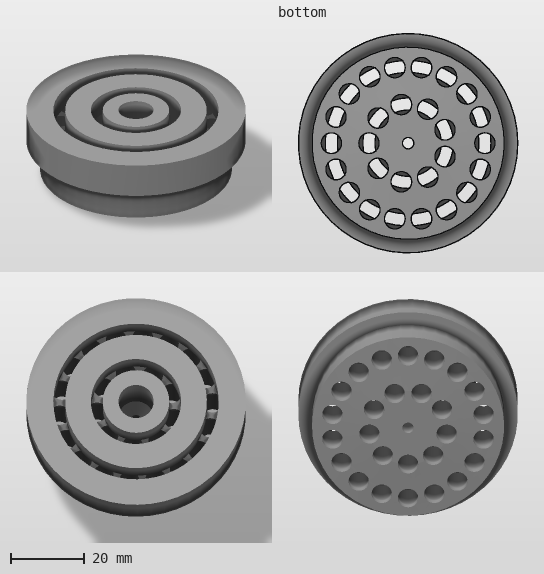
import cadquery as cq
import math

flange_diameter = 59.4
flange_thickness = 9.5
plug_diameter = 52.0
total_height = 19.5
underside_flat_diameter = 21.4
underside_rise = 1.0

groove_width = 3.2
groove_depth = 6.0
inner_groove_diameter = 18.0
outer_groove_diameter = 38.3

vent_diameter = 5.5
inner_vent_count = 9
outer_vent_count = 18
first_vent_angle = 180

bore_diameter = 9.5
bore_depth = 13.05
outlet_diameter = 3.0
drill_point_angle = 118.0


def revolved(profile):
    """Solid of revolution about Z from (radius, height) points."""
    return cq.Workplane("XZ").polyline(profile).close().revolve(360, (0, 0, 0), (0, 1, 0))


def flanged_disc():
    """Flanged disc with an underside that slopes gently up from a flat middle to the rim."""
    flange_radius = flange_diameter / 2
    plug_radius = plug_diameter / 2
    flange_bottom = total_height - flange_thickness
    profile = [
        (0, 0),
        (underside_flat_diameter / 2, 0),
        (plug_radius, underside_rise),
        (plug_radius, flange_bottom),
        (flange_radius, flange_bottom),
        (flange_radius, total_height),
        (0, total_height),
    ]
    return revolved(profile)


def vented_groove(inner_diameter, vent_count):
    """Ring groove plus the ring of vents running through its floor, as one cutting body."""
    inner_radius = inner_diameter / 2
    floor_height = total_height - groove_depth
    groove = (
        cq.Workplane("XY", origin=(0, 0, floor_height))
        .circle(inner_radius + groove_width)
        .circle(inner_radius)
        .extrude(groove_depth)
    )
    vents = (
        cq.Workplane("XY")
        .polarArray(inner_radius + groove_width / 2, first_vent_angle, 360, vent_count)
        .circle(vent_diameter / 2)
        .extrude(floor_height)
    )
    return groove.union(vents)


def central_bore():
    """Bore narrowing through a cone to the outlet that reaches the underside."""
    bore_radius = bore_diameter / 2
    outlet_radius = outlet_diameter / 2
    half_angle = math.radians(drill_point_angle / 2)
    cone_height = (bore_radius - outlet_radius) / math.tan(half_angle)
    cone_top = total_height - bore_depth
    profile = [
        (0, 0),
        (outlet_radius, 0),
        (outlet_radius, cone_top - cone_height),
        (bore_radius, cone_top),
        (bore_radius, total_height),
        (0, total_height),
    ]
    return revolved(profile)


result = (
    flanged_disc()
    .cut(vented_groove(inner_groove_diameter, inner_vent_count))
    .cut(vented_groove(outer_groove_diameter, outer_vent_count))
    .cut(central_bore())
)